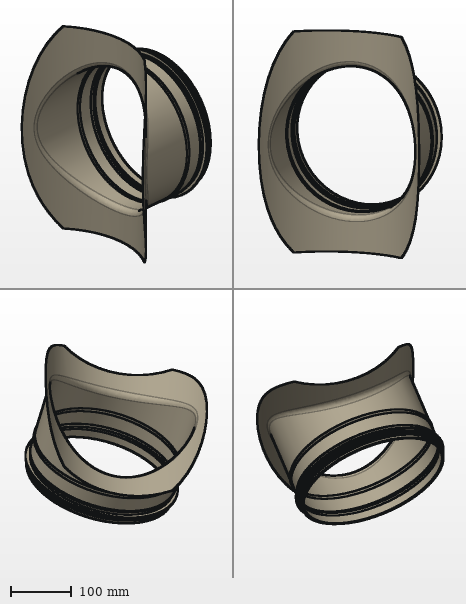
import cadquery as cq
import math

sheet = 0.55

saddle_radius = 156.0
saddle_height = 370.0
saddle_width = 275.0
saddle_end_width = 185.0
blend_radius = 9.2

total_depth = 176.0
collar_radius = 249.0 / 2
groove_radius = 244.2 / 2

hem_length = 6.0
seal_length = 16.0
neck_end = 21.0
neck_shoulder = 25.0
bead_center = 53.5

bead_half_width = 4.0
crest_half_width = 2.0
bead_height = 1.22
channel_half_width = 3.0

small_lip_radius = 254.2 / 2
small_lip_start = 7.8
small_lip_tip = 10.0
small_lip_end = 11.5
large_lip_radius = 259.5 / 2
large_lip_start = 13.0
large_lip_tip = 14.0

selection_margin = 3.7

saddle_bore = saddle_radius - sheet
saddle_edge_y = math.sqrt(saddle_radius**2 - (saddle_width / 2) ** 2)
saddle_corner_y = math.sqrt(saddle_radius**2 - (saddle_end_width / 2) ** 2)
open_end = saddle_edge_y + total_depth
bead_y = open_end - bead_center
shell_end = bead_y - 2 * bead_half_width


def pipe_branch(pipe_radius, branch_radius, fillet):
    """Solid half pipe along Z with a solid branch along +Y, blended at the joint."""
    half_pipe = (
        cq.Workplane("XY", origin=(0, 0, -saddle_height / 2))
        .moveTo(-pipe_radius, 0)
        .threePointArc((0, pipe_radius), (pipe_radius, 0))
        .close()
        .extrude(saddle_height)
    )
    branch = cq.Workplane("XZ").circle(branch_radius).extrude(-shell_end)
    reach = branch_radius + selection_margin
    joint = cq.selectors.BoxSelector(
        (-reach, selection_margin, -reach),
        (reach, pipe_radius + selection_margin, reach),
        boundingbox=True,
    )
    return half_pipe.union(branch).edges(joint).fillet(fillet)


def saddle_outline():
    """Prism along X whose curved front trims the side edges of the saddle."""
    top = saddle_height / 2
    return (
        cq.Workplane("YZ")
        .moveTo(saddle_corner_y, -top)
        .threePointArc((saddle_edge_y, 0), (saddle_corner_y, top))
        .lineTo(open_end, top)
        .lineTo(open_end, -top)
        .close()
        .extrude(saddle_radius, both=True)
    )


def wall_solid(radius, neck_radius):
    """Solid of revolution bounded by one face of the collar wall, without the bead."""
    return (
        cq.Workplane("XY")
        .moveTo(0, shell_end)
        .lineTo(radius, shell_end)
        .lineTo(radius, open_end - neck_shoulder)
        .lineTo(neck_radius, open_end - neck_end)
        .lineTo(neck_radius, open_end)
        .lineTo(0, open_end)
        .close()
        .revolve(360, (0, 0, 0), (0, 1, 0))
    )


def bead_rib():
    """Disc whose rim is the outside of the bead: a round crest between two hollow blends."""
    blend_width = bead_half_width - crest_half_width
    inflection = collar_radius + bead_height * blend_width / bead_half_width
    return (
        cq.Workplane("XY")
        .moveTo(0, bead_y - 2 * bead_half_width)
        .lineTo(collar_radius, bead_y - 2 * bead_half_width)
        .lineTo(collar_radius, bead_y - bead_half_width)
        .tangentArcPoint((inflection, bead_y - crest_half_width), relative=False)
        .threePointArc((collar_radius + bead_height, bead_y), (inflection, bead_y + crest_half_width))
        .tangentArcPoint((collar_radius, bead_y + bead_half_width), relative=False)
        .lineTo(0, bead_y + bead_half_width)
        .close()
        .revolve(360, (0, 0, 0), (0, 1, 0))
    )


def bead_channel():
    """Disc whose rim is the round channel on the inside of the bead."""
    bore_radius = collar_radius - sheet
    return (
        cq.Workplane("XY")
        .moveTo(0, bead_y - channel_half_width)
        .lineTo(bore_radius, bead_y - channel_half_width)
        .threePointArc((bore_radius + bead_height, bead_y), (bore_radius, bead_y + channel_half_width))
        .lineTo(0, bead_y + channel_half_width)
        .close()
        .revolve(360, (0, 0, 0), (0, 1, 0))
    )


def ring(outer, inner, start, length):
    """Ring around Y that starts a given distance from the open end."""
    return (
        cq.Workplane("XZ", origin=(0, open_end - start, 0))
        .circle(outer)
        .circle(inner)
        .extrude(length)
    )


def make_fitting():
    """Saddle and collar formed as one sheet, with the collar end folded back."""
    outer = pipe_branch(saddle_radius, collar_radius, blend_radius)
    inner = pipe_branch(saddle_bore, collar_radius - sheet, blend_radius + sheet)
    saddle = outer.cut(inner).intersect(saddle_outline())
    collar_outside = wall_solid(collar_radius, groove_radius).union(bead_rib())
    collar_inside = wall_solid(collar_radius - sheet, groove_radius - sheet).union(bead_channel())
    collar = collar_outside.cut(collar_inside)
    end_web = ring(collar_radius, groove_radius - sheet, 0, sheet)
    hem = ring(collar_radius, collar_radius - sheet, 0, hem_length)
    return saddle.union(collar).union(end_web).union(hem)


def make_seal():
    """Rubber seal tucked under the hem, with two sloping lips."""
    tucked_radius = collar_radius - sheet
    return (
        cq.Workplane("XY")
        .moveTo(groove_radius, open_end - sheet)
        .lineTo(tucked_radius, open_end - sheet)
        .lineTo(tucked_radius, open_end - hem_length)
        .lineTo(collar_radius, open_end - hem_length)
        .lineTo(collar_radius, open_end - small_lip_start)
        .lineTo(small_lip_radius, open_end - small_lip_tip)
        .lineTo(small_lip_radius, open_end - small_lip_end)
        .lineTo(collar_radius, open_end - small_lip_end)
        .lineTo(collar_radius, open_end - large_lip_start)
        .lineTo(large_lip_radius, open_end - large_lip_tip)
        .lineTo(large_lip_radius, open_end - seal_length)
        .lineTo(groove_radius, open_end - seal_length)
        .close()
        .revolve(360, (0, 0, 0), (0, 1, 0))
    )


fitting = make_fitting()
seal = make_seal()

result = cq.Compound.makeCompound([fitting.val(), seal.val()])